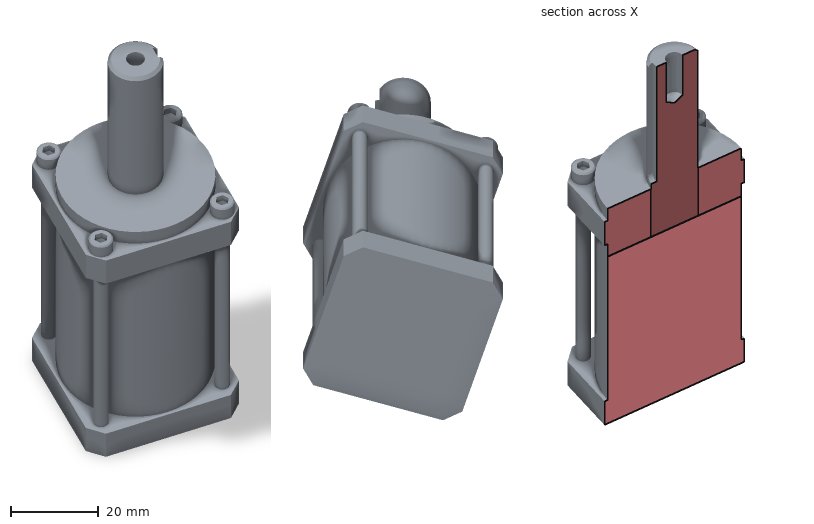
import cadquery as cq
import math

drill_point_angle = 118

plate_side = 38.1
plate_thickness = 7.62
corner_chamfer = 3.5

barrel_diameter = 36.5
barrel_length = 45.72
barrel_top = plate_thickness + barrel_length

register_height = 3.81
front_plate_bottom = barrel_top + register_height
front_plate_top = front_plate_bottom + plate_thickness
front_face = front_plate_top + register_height

shaft_diameter = 12.7
shaft_projection = 38.1
shaft_chamfer = 0.762
shaft_top = front_face + shaft_projection
shaft_hole_diameter = 4.3
shaft_hole_depth = 12.7
keyway_width = 3.175
keyway_depth = 1.4
keyway_clearance = 1.6
keyway_bottom = front_face + keyway_clearance

bolt_offset = 15.08
bolt_spacing = 2 * bolt_offset
bolt_diameter = 3.505
bolt_head_diameter = 5.6
bolt_head_height = bolt_diameter
bolt_head_chamfer = 0.35
socket_across_flats = 2.78
socket_depth = bolt_head_height / 2


def cylinder(diameter, bottom, top):
    return cq.Workplane("XY").workplane(offset=bottom).circle(diameter / 2).extrude(top - bottom)


def square_plate(bottom):
    plate = cq.Workplane("XY").workplane(offset=bottom).rect(plate_side, plate_side).extrude(plate_thickness)
    return plate.edges("|Z").chamfer(corner_chamfer)


def drill_bolt_holes(housing):
    """Cut the four bolt holes right through a housing."""
    holes = (
        cq.Workplane("XY")
        .rect(bolt_spacing, bolt_spacing, forConstruction=True)
        .vertices()
        .circle(bolt_diameter / 2)
        .extrude(front_plate_top)
    )
    return housing.cut(holes)


def make_rear_housing():
    barrel = cylinder(barrel_diameter, plate_thickness, barrel_top)
    return drill_bolt_holes(square_plate(0).union(barrel))


def make_front_housing():
    registers = cylinder(barrel_diameter, barrel_top, front_face)
    housing = drill_bolt_holes(square_plate(front_plate_bottom).union(registers))
    return housing.cut(cylinder(shaft_diameter, barrel_top, front_face))


def drilled_hole(diameter, top, depth):
    """Blind vertical hole on the Z axis; its conical drill point lies below the given depth."""
    radius = diameter / 2
    shoulder = top - depth
    tip = shoulder - radius / math.tan(math.radians(drill_point_angle / 2))
    profile = [(0, top), (radius, top), (radius, shoulder), (0, tip)]
    return cq.Workplane("XZ").polyline(profile).close().revolve(360, (0, 0), (0, 1))


def shaft_keyway():
    """Keyway on the +Y side, open at the shaft end and round at its lower end."""
    half_width = keyway_width / 2
    round_centre = keyway_bottom + half_width
    return (
        cq.Workplane("XZ", origin=(0, shaft_diameter / 2, 0))
        .moveTo(-half_width, shaft_top)
        .lineTo(-half_width, round_centre)
        .threePointArc((0, keyway_bottom), (half_width, round_centre))
        .lineTo(half_width, shaft_top)
        .close()
        .extrude(keyway_depth)
    )


def make_shaft():
    shaft = cylinder(shaft_diameter, barrel_top, shaft_top)
    shaft = shaft.faces(">Z").chamfer(shaft_chamfer)
    shaft = shaft.cut(drilled_hole(shaft_hole_diameter, shaft_top, shaft_hole_depth))
    return shaft.cut(shaft_keyway())


def make_bolt(x, y):
    """Bolt reaching from its head on the front plate to the underside of the rear plate."""
    head_top = front_plate_top + bolt_head_height
    head = cylinder(bolt_head_diameter, front_plate_top, head_top)
    head = head.faces(">Z").chamfer(bolt_head_chamfer)
    socket = (
        cq.Workplane("XY")
        .workplane(offset=head_top - socket_depth)
        .polygon(6, socket_across_flats, circumscribed=True)
        .extrude(socket_depth)
    )
    socket_drilling = drilled_hole(socket_across_flats, head_top, socket_depth)
    shank = cylinder(bolt_diameter, 0, front_plate_top)
    return head.union(shank).cut(socket).cut(socket_drilling).translate((x, y, 0))


rear_housing = make_rear_housing()
front_housing = make_front_housing()
shaft = make_shaft()
bolts = [
    make_bolt(x, y)
    for x in (-bolt_offset, bolt_offset)
    for y in (-bolt_offset, bolt_offset)
]

result = cq.Compound.makeCompound(
    [rear_housing.val(), front_housing.val(), shaft.val(), *[bolt.val() for bolt in bolts]]
)